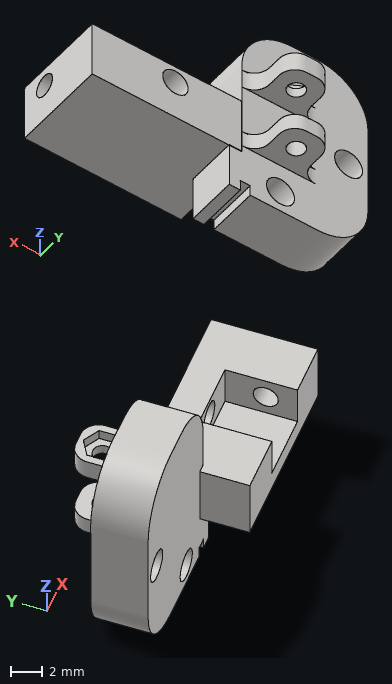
import cadquery as cq
import math

length = 21.8
arm_left = 9.4
arm_depth = 7.25
arm_bottom = 3.55
arm_top = 8.07

window_left = 13.4
window_right = 18.07
window_depth = 4.93
window_floor = 5.05

front_bore_diameter = 2.0
front_bore_x = 15.22
front_bore_z = 6.67
side_bore_diameter = 1.7
side_bore_y = 2.15
side_bore_z = (window_floor + arm_top) / 2

plate_width = 9.98
plate_height = 15.25
plate_front = 3.4
plate_back = 7.3
plate_thickness = plate_back - plate_front
plate_radius = 4.0
foot_right = 10.99
notch_left = 9.33
notch_right = 10.12
notch_height = 0.85
plate_hole_diameter = 2.2
plate_hole_centers = [(1.55, 7.35), (6.93, 1.72)]

lug_x = 7.05
lug_width = 3.31
lug_back = 10.8
lug_corner_radius = 1.25
lug_root_radius = 1.2
lug_hole_diameter = 1.3
lug_hole_y = 9.13
lower_lug_bottom = 4.05
lower_lug_top = 5.32
upper_lug_bottom = 9.3
upper_lug_top = 10.81
lug_embed = 0.22

nut_across_flats = 2.22
nut_across_corners = nut_across_flats / math.cos(math.pi / 6)
nut_depth = (upper_lug_top - upper_lug_bottom) / 2


def box_between(x_range, y_range, z_range):
    """Box spanning the given (low, high) ranges."""
    ranges = (x_range, y_range, z_range)
    sizes = [high - low for low, high in ranges]
    corner = tuple(low for low, high in ranges)
    return cq.Workplane("XY").box(*sizes, centered=False).translate(corner)


def make_plate():
    plate = (
        box_between((0, plate_width), (plate_front, plate_back), (0, plate_height))
        .edges("|Y and (<X or >Z)")
        .fillet(plate_radius)
    )
    foot = box_between((arm_left, foot_right), (plate_front, plate_back), (0, arm_bottom))
    notch = box_between((notch_left, notch_right), (plate_front, plate_back), (0, notch_height))
    holes = (
        cq.Workplane("XZ", origin=(0, plate_back, 0))
        .pushPoints(plate_hole_centers)
        .circle(plate_hole_diameter / 2)
        .extrude(plate_thickness)
    )
    return plate.union(foot).cut(notch).cut(holes)


def make_arm():
    arm = box_between((arm_left, length), (0, arm_depth), (arm_bottom, arm_top))
    window = box_between((window_left, window_right), (0, window_depth), (window_floor, arm_top))
    front_bore = (
        cq.Workplane("XZ", origin=(front_bore_x, arm_depth, front_bore_z))
        .circle(front_bore_diameter / 2)
        .extrude(arm_depth - window_depth)
    )
    side_bore = (
        cq.Workplane("YZ", origin=(window_right, side_bore_y, side_bore_z))
        .circle(side_bore_diameter / 2)
        .extrude(length - window_right)
    )
    return arm.cut(window).cut(front_bore).cut(side_bore)


def make_lug(bottom, top):
    """Rounded lug that flares into the back of the plate."""
    left = lug_x - lug_width / 2
    right = lug_x + lug_width / 2
    root_left = left - lug_root_radius
    root_right = right + lug_root_radius
    root_end = plate_back + lug_root_radius
    corner_start = lug_back - lug_corner_radius
    return (
        cq.Workplane("XY", origin=(0, 0, bottom))
        .moveTo(root_left, plate_back - lug_embed)
        .lineTo(root_left, plate_back)
        .radiusArc((left, root_end), -lug_root_radius)
        .lineTo(left, corner_start)
        .radiusArc((left + lug_corner_radius, lug_back), lug_corner_radius)
        .lineTo(right - lug_corner_radius, lug_back)
        .radiusArc((right, corner_start), lug_corner_radius)
        .lineTo(right, root_end)
        .radiusArc((root_right, plate_back), -lug_root_radius)
        .lineTo(root_right, plate_back - lug_embed)
        .close()
        .moveTo(lug_x, lug_hole_y)
        .circle(lug_hole_diameter / 2)
        .extrude(top - bottom)
    )


def make_nut_recess():
    return (
        cq.Workplane("XY", origin=(lug_x, lug_hole_y, upper_lug_top))
        .transformed(rotate=(0, 0, 90))
        .polygon(6, nut_across_corners)
        .extrude(-nut_depth)
    )


lower_lug = make_lug(lower_lug_bottom, lower_lug_top)
upper_lug = make_lug(upper_lug_bottom, upper_lug_top).cut(make_nut_recess())

result = make_plate().union(make_arm()).union(lower_lug).union(upper_lug)